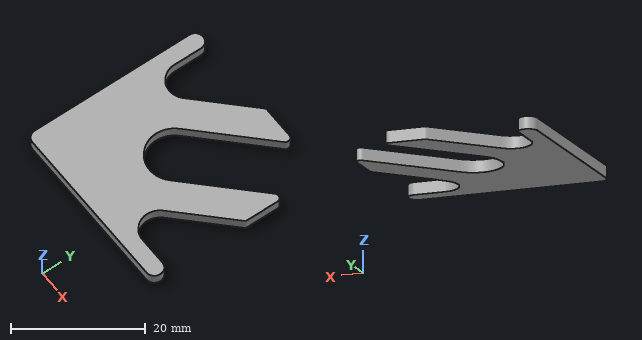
import cadquery as cq
import math

SIDE = 31.5
THICKNESS = 2.0
ARM_WIDTH = 3.0
ARM_END_RADIUS = ARM_WIDTH / 2
CORNER_RADIUS = 1.5
SLOT_CENTER = SIDE / 2
SLOT_RADIUS = 4.6
PRONG_WIDTH = 5.45
PRONG_TIP_RADIUS = 0.8
NOTCH_RADIUS = 3.25

PRONG_OUTER_OFFSET = SLOT_RADIUS + PRONG_WIDTH
NOTCH_OFFSET = PRONG_OUTER_OFFSET + NOTCH_RADIUS

NOTCH_X = ARM_WIDTH + NOTCH_RADIUS
NOTCH_Y = NOTCH_X + NOTCH_OFFSET * math.sqrt(2)


def mirrored(point):
    """Reflect a point across the diagonal X = Y."""
    return (point[1], point[0])


def on_notch(angle):
    """Point on the upper notch's round end, angle in degrees from +X."""
    a = math.radians(angle)
    return (NOTCH_X + NOTCH_RADIUS * math.cos(a), NOTCH_Y + NOTCH_RADIUS * math.sin(a))


def on_top_edge(offset):
    """Point where a diagonal line at this offset meets the top edge."""
    return (SIDE - offset * math.sqrt(2), SIDE)


arm_end_start = (0, SIDE - ARM_END_RADIUS)
arm_end_top = (ARM_END_RADIUS, SIDE)
arm_end_finish = (ARM_WIDTH, SIDE - ARM_END_RADIUS)
notch_start = on_notch(180)
notch_middle = on_notch(247.5)
notch_finish = on_notch(315)
tip_outer = on_top_edge(PRONG_OUTER_OFFSET)
tip_inner = on_top_edge(SLOT_RADIUS)
slot_shift = SLOT_RADIUS / math.sqrt(2)
slot_start = (SLOT_CENTER - slot_shift, SLOT_CENTER + slot_shift)
slot_bottom = (SLOT_CENTER - slot_shift, SLOT_CENTER - slot_shift)

plate = (
    cq.Workplane("XY")
    .moveTo(0, 0)
    .lineTo(*arm_end_start)
    .threePointArc(arm_end_top, arm_end_finish)
    .lineTo(*notch_start)
    .threePointArc(notch_middle, notch_finish)
    .lineTo(*tip_outer)
    .lineTo(*tip_inner)
    .lineTo(*slot_start)
    .threePointArc(slot_bottom, mirrored(slot_start))
    .lineTo(*mirrored(tip_inner))
    .lineTo(*mirrored(tip_outer))
    .lineTo(*mirrored(notch_finish))
    .threePointArc(mirrored(notch_middle), mirrored(notch_start))
    .lineTo(*mirrored(arm_end_finish))
    .threePointArc(mirrored(arm_end_top), mirrored(arm_end_start))
    .close()
    .extrude(THICKNESS)
)


def round_upright_edge(body, point, radius):
    """Fillet the vertical edge standing at the given outline point."""
    edge = cq.selectors.NearestToPointSelector((*point, THICKNESS / 2))
    return body.edges("|Z").edges(edge).fillet(radius)


result = round_upright_edge(plate, (0, 0), CORNER_RADIUS)
for tip in (tip_outer, tip_inner):
    for corner in (tip, mirrored(tip)):
        result = round_upright_edge(result, corner, PRONG_TIP_RADIUS)